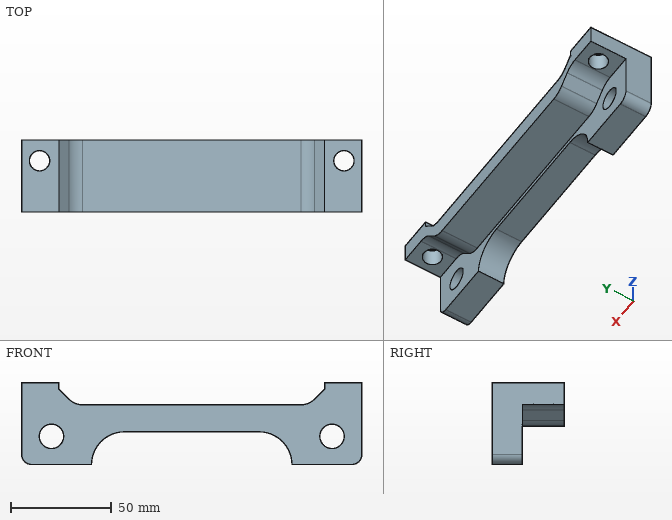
import cadquery as cq
import math

length = 170.0
depth = 36.0
height = 41.0

plate_depth = 15.1
arch_start = 35.0
arch_radius = 16.3
foot_corner_radius = 5.1
plate_hole_diameter = 12.0
plate_hole_inset = 15.0
plate_hole_height = 14.1

shelf_thickness = 10.9
floor_drop = 11.0
pad_length = 18.7
lip_height = 3.2
top_bend_radius = 9.5
underside_bend_radius = 10.0
underside_slope_start = pad_length
pad_hole_diameter = 10.0
pad_hole_inset = 9.0
pad_hole_y = 25.7

half_length = length / 2
floor_z = height - floor_drop
slope_foot = pad_length + floor_drop - lip_height


def extrude_along_depth(outline, profile_depth):
    """Extrude an XZ outline from Y = 0 toward +Y."""
    return outline.close().extrude(-profile_depth)


def top_recess():
    """Space above the shelf floor, between the two end pads."""
    pad_edge = half_length - pad_length
    foot = half_length - slope_foot
    outline = (
        cq.Workplane("XZ")
        .moveTo(-pad_edge, height)
        .lineTo(-pad_edge, height - lip_height)
        .lineTo(-foot, floor_z)
        .lineTo(foot, floor_z)
        .lineTo(pad_edge, height - lip_height)
        .lineTo(pad_edge, height)
    )
    recess = extrude_along_depth(outline, depth)
    floor_edges = cq.selectors.BoxSelector(
        (-half_length, -1.7, floor_z - 0.2), (half_length, depth + 1.7, floor_z + 0.2)
    )
    return recess.edges("|Y").edges(floor_edges).fillet(top_bend_radius)


def shelf_blank():
    """Shelf before its top is recessed."""
    pad_bottom = height - shelf_thickness
    floor_bottom = floor_z - shelf_thickness
    upper_bend = half_length - underside_slope_start
    lower_bend = upper_bend - floor_drop
    outline = (
        cq.Workplane("XZ")
        .moveTo(-half_length, height)
        .lineTo(-half_length, pad_bottom)
        .lineTo(-upper_bend, pad_bottom)
        .lineTo(-lower_bend, floor_bottom)
        .lineTo(lower_bend, floor_bottom)
        .lineTo(upper_bend, pad_bottom)
        .lineTo(half_length, pad_bottom)
        .lineTo(half_length, height)
    )
    blank = extrude_along_depth(outline, depth)
    bend_edges = cq.selectors.BoxSelector(
        (-upper_bend - 0.2, -1.7, floor_bottom - 0.2), (upper_bend + 0.2, depth + 1.7, pad_bottom + 0.2)
    )
    return blank.edges("|Y").edges(bend_edges).fillet(underside_bend_radius)


def upright_plate():
    """Plate with rounded outer feet and an arched opening below."""
    foot_end = half_length - arch_start
    arch_end = foot_end - arch_radius
    arc_offset = arch_radius * math.sqrt(0.5)
    outline = (
        cq.Workplane("XZ")
        .moveTo(-half_length, height)
        .lineTo(-half_length, 0)
        .lineTo(-foot_end, 0)
        .threePointArc((-arch_end - arc_offset, arc_offset), (-arch_end, arch_radius))
        .lineTo(arch_end, arch_radius)
        .threePointArc((arch_end + arc_offset, arc_offset), (foot_end, 0))
        .lineTo(half_length, 0)
        .lineTo(half_length, height)
    )
    plate = extrude_along_depth(outline, plate_depth)
    for end in ("<X", ">X"):
        plate = plate.faces(end).edges("<Z").fillet(foot_corner_radius)
    return plate


def plate_holes():
    """Through holes along Y, one in each foot."""
    hole_x = half_length - plate_hole_inset
    return (
        cq.Workplane("XZ")
        .pushPoints([(-hole_x, plate_hole_height), (hole_x, plate_hole_height)])
        .circle(plate_hole_diameter / 2)
        .extrude(-plate_depth)
    )


def pad_holes():
    """Vertical through holes, one in each end pad."""
    hole_x = half_length - pad_hole_inset
    return (
        cq.Workplane("XY")
        .pushPoints([(-hole_x, pad_hole_y), (hole_x, pad_hole_y)])
        .circle(pad_hole_diameter / 2)
        .extrude(height)
    )


body = shelf_blank().union(upright_plate())
result = body.cut(top_recess()).cut(plate_holes()).cut(pad_holes())